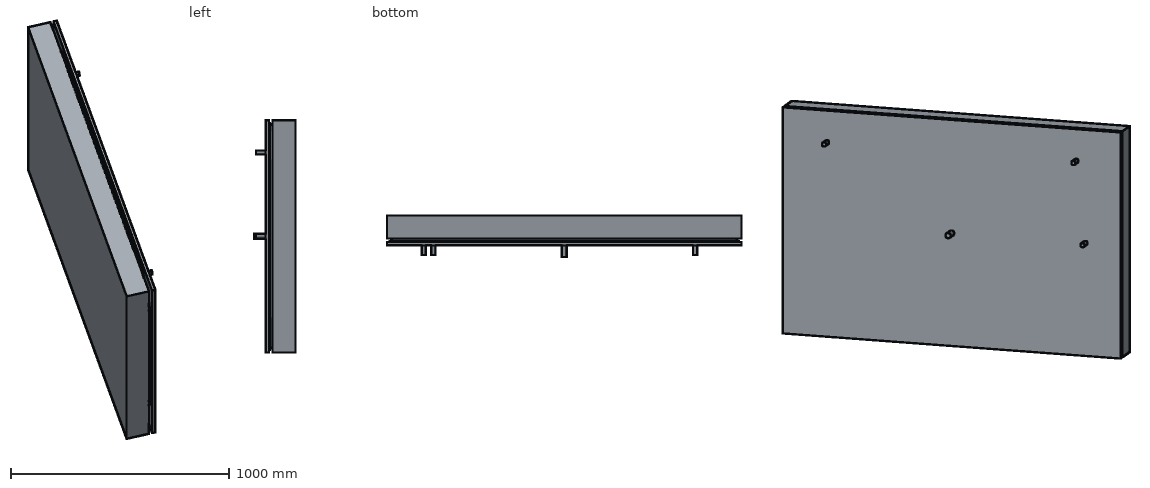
import cadquery as cq

WIDTH = 1626.39
HEIGHT = 1065.56
TOTAL_DEPTH = 190.68

BLOCK_DEPTH = 106.3
CORE_DEPTH = 9.9
RIM_DEPTH = 4.9
BACK_DEPTH = 15.9

CORE_FRONT = BLOCK_DEPTH
RIM_FRONT = CORE_FRONT + CORE_DEPTH
BACK_FRONT = RIM_FRONT + RIM_DEPTH
BACK_REAR = BACK_FRONT + BACK_DEPTH

CORNER_CENTRE_INSET = 281.5
RIM_INSET = 12.5
CORE_FRONT_INSET = 17.0
CORE_TAPER = 32.4

CENTRE_PIN_DIAMETER = 25.0
CENTRE_PIN_LENGTH = TOTAL_DEPTH - BACK_REAR
SIDE_PIN_DIAMETER = 20.0
SIDE_PIN_LENGTH = 45.0
SIDE_PIN_X = 600.0
UPPER_PIN_Z = 384.0
EXTRA_PIN_X = -644.0


def rectangular_layer(front, depth):
    """A plate that fills the whole panel outline."""
    return (
        cq.Workplane("XZ", origin=(0, front, 0))
        .rect(WIDTH, HEIGHT)
        .extrude(-depth)
    )


def rounded_layer(front, depth, inset, taper=0.0):
    """A plate with round corners, inset evenly from the panel outline at its front."""
    outline = cq.Sketch().rect(WIDTH - 2 * inset, HEIGHT - 2 * inset)
    outline = outline.vertices().fillet(CORNER_CENTRE_INSET - inset)
    plane = cq.Plane(origin=(0, front, 0), xDir=(-1, 0, 0), normal=(0, 1, 0))
    return cq.Workplane(plane).placeSketch(outline).extrude(depth, taper=taper)


def pins(places, diameter, length):
    """Separate round pins that point rearward from the back plate."""
    return (
        cq.Workplane("XZ", origin=(0, BACK_REAR, 0))
        .pushPoints(places)
        .circle(diameter / 2)
        .extrude(-length, combine=False)
    )


block = rectangular_layer(0, BLOCK_DEPTH)
core_plate = rounded_layer(CORE_FRONT, CORE_DEPTH, CORE_FRONT_INSET, CORE_TAPER)
rim_plate = rounded_layer(RIM_FRONT, RIM_DEPTH, RIM_INSET)
back_plate = rectangular_layer(BACK_FRONT, BACK_DEPTH)

centre_pin = pins([(0, 0)], CENTRE_PIN_DIAMETER, CENTRE_PIN_LENGTH)
side_pin_places = [
    (-SIDE_PIN_X, UPPER_PIN_Z),
    (SIDE_PIN_X, UPPER_PIN_Z),
    (EXTRA_PIN_X, 0),
]
side_pins = pins(side_pin_places, SIDE_PIN_DIAMETER, SIDE_PIN_LENGTH)

result = cq.Compound.makeCompound(
    [
        block.val(),
        core_plate.val(),
        rim_plate.val(),
        back_plate.val(),
        centre_pin.val(),
        *side_pins.vals(),
    ]
)